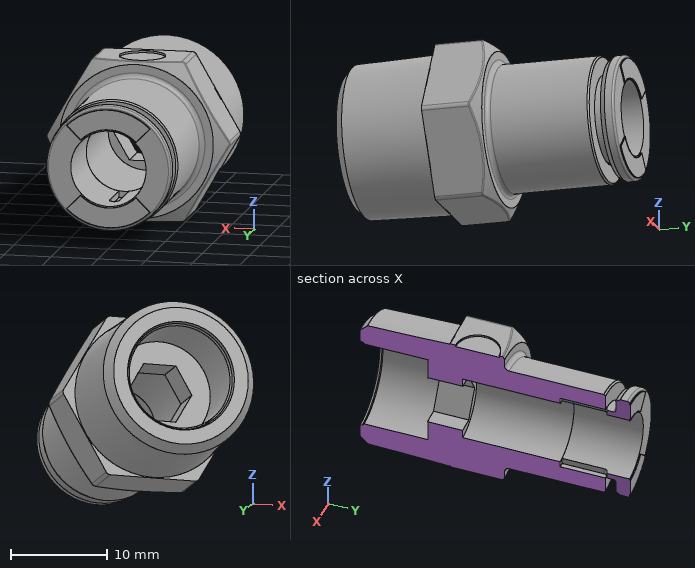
import cadquery as cq
import math


total_length = 30.05
thread_length = 10.0
hex_end = 16.08
barrel_end = 27.25
flange_front = 28.37
flange_rear = 29.93

thread_tip_radius = 8.17
thread_root_radius = 8.45
thread_chamfer = 0.87

hex_apothem = 8.5
hex_corner_ratio = 1 / math.cos(math.pi / 6)
hex_corner_radius = 0.5
hex_bevel_angle = 30
hex_bevel_start_radius = 8.17
hex_bevel_edge_radius = 0.15
badge_radius = 2.4
badge_depth = 0.2

barrel_radius = 6.75
barrel_chamfer = 0.18
barrel_root_fillet = 0.5

thread_bore_radius = 5.47
thread_bore_depth = 7.5
bore_mouth_radius = 5.8
bore_lip_radius = 5.65
bore_lip_depth = 0.3
bore_lead_in_depth = 0.48
key_apothem = 3.0
key_end = 11.42
tube_radius = 4.0
sleeve_start = 22.25

sleeve_radius = 4.7
sleeve_fillet = 0.25
flange_radius = 6.6
flange_front_chamfer_radial = 0.35
flange_front_chamfer_length = 0.55
flange_rear_fillet = 0.25
slot_width = 1.02
slot_end = barrel_end + 0.15

arc_inner_radius = 4.15
arc_outer_radius = 6.25
arc_half_angle = 45


def arc_bow(radius):
    """Offset along each axis from a quarter arc's square corner to the arc's middle."""
    return radius * (1 - math.sqrt(0.5))


def revolve_about_y(points):
    """Solid of revolution from (radius, y) points."""
    return cq.Workplane("XY").polyline(points).close().revolve(360, (0, 0, 0), (0, 1, 0))


def cylinder_y(radius, start, end):
    """Cylinder on the Y axis."""
    return cq.Workplane("XZ", origin=(0, start, 0)).circle(radius).extrude(start - end)


def hexagon_y(apothem, start, end):
    """Hexagonal prism on the Y axis with corners on +X and -X."""
    corner_diameter = 2 * apothem * hex_corner_ratio
    return cq.Workplane("XZ", origin=(0, start, 0)).polygon(6, corner_diameter).extrude(start - end)


def make_thread():
    return revolve_about_y([
        (0, 0),
        (thread_tip_radius - thread_chamfer, 0),
        (thread_tip_radius, thread_chamfer),
        (thread_root_radius, thread_length),
        (0, thread_length),
    ])


def make_wrench_hexagon():
    prism = hexagon_y(hex_apothem, thread_length, hex_end).edges("|Y").fillet(hex_corner_radius)
    outer_radius = hex_apothem * hex_corner_ratio
    bevel_drop = (outer_radius - hex_bevel_start_radius) * math.tan(math.radians(hex_bevel_angle))
    bevel = revolve_about_y([
        (0, thread_length),
        (outer_radius, thread_length),
        (outer_radius, hex_end - bevel_drop),
        (hex_bevel_start_radius, hex_end),
        (0, hex_end),
    ])
    bevelled = prism.intersect(bevel)
    bevel_edges = bevelled.faces("%CONE").edges("(not >Y) and (not %LINE)")
    return bevel_edges.fillet(hex_bevel_edge_radius)


def make_badge_recess():
    center_y = (thread_length + hex_end) / 2
    floor = hex_apothem - badge_depth
    return cq.Workplane("XY", origin=(0, center_y, floor)).circle(badge_radius).extrude(2 * badge_depth)


def make_barrel():
    barrel = cylinder_y(barrel_radius, hex_end, barrel_end)
    return barrel.faces(">Y").chamfer(barrel_chamfer)


def make_barrel_root():
    """Concave fillet ring where the barrel meets the hexagon."""
    fillet_top = hex_end + barrel_root_fillet
    fillet_rim = barrel_radius + barrel_root_fillet
    bow = arc_bow(barrel_root_fillet)
    profile = (
        cq.Workplane("XY")
        .moveTo(0, hex_end)
        .lineTo(fillet_rim, hex_end)
        .threePointArc((barrel_radius + bow, hex_end + bow), (barrel_radius, fillet_top))
        .lineTo(0, fillet_top)
        .close()
    )
    return profile.revolve(360, (0, 0, 0), (0, 1, 0))


def make_thread_bore():
    """Blind bore with a two-step tapered mouth."""
    return revolve_about_y([
        (0, 0),
        (bore_mouth_radius, 0),
        (bore_lip_radius, bore_lip_depth),
        (thread_bore_radius, bore_lead_in_depth),
        (thread_bore_radius, thread_bore_depth),
        (0, thread_bore_depth),
    ])


def make_housing():
    outside = make_thread().union(make_wrench_hexagon()).union(make_barrel_root()).union(make_barrel())
    return (
        outside
        .cut(make_badge_recess())
        .cut(make_thread_bore())
        .cut(hexagon_y(key_apothem, thread_bore_depth, key_end))
        .cut(cylinder_y(tube_radius, key_end, sleeve_start))
        .cut(cylinder_y(sleeve_radius, sleeve_start, barrel_end))
    )


def make_collet_blank():
    """Sleeve and flange with the tube bore through both."""
    fillet_bow = arc_bow(sleeve_fillet)
    rear_bow = arc_bow(flange_rear_fillet)
    profile = (
        cq.Workplane("XY")
        .moveTo(tube_radius, sleeve_start)
        .lineTo(sleeve_radius, sleeve_start)
        .lineTo(sleeve_radius, flange_front - sleeve_fillet)
        .threePointArc(
            (sleeve_radius + fillet_bow, flange_front - fillet_bow),
            (sleeve_radius + sleeve_fillet, flange_front),
        )
        .lineTo(flange_radius - flange_front_chamfer_radial, flange_front)
        .lineTo(flange_radius, flange_front + flange_front_chamfer_length)
        .lineTo(flange_radius, flange_rear - flange_rear_fillet)
        .threePointArc(
            (flange_radius - rear_bow, flange_rear - rear_bow),
            (flange_radius - flange_rear_fillet, flange_rear),
        )
        .lineTo(tube_radius, flange_rear)
        .close()
    )
    return profile.revolve(360, (0, 0, 0), (0, 1, 0))


def make_collet_slot():
    """Round-ended slot across the sleeve that opens at its inner end."""
    slot_radius = slot_width / 2
    return (
        cq.Workplane("XY")
        .moveTo(-slot_radius, sleeve_start)
        .lineTo(slot_radius, sleeve_start)
        .lineTo(slot_radius, slot_end - slot_radius)
        .threePointArc((0, slot_end), (-slot_radius, slot_end - slot_radius))
        .close()
        .extrude(sleeve_radius, both=True)
    )


def make_raised_arc(middle_angle):
    """Ring sector on the flange's rear face, centred on an angle from +X towards +Z."""

    def point(radius, offset):
        angle = math.radians(middle_angle + offset)
        return radius * math.cos(angle), radius * math.sin(angle)

    return (
        cq.Workplane("XZ", origin=(0, flange_rear, 0))
        .moveTo(*point(arc_inner_radius, -arc_half_angle))
        .lineTo(*point(arc_outer_radius, -arc_half_angle))
        .threePointArc(point(arc_outer_radius, 0), point(arc_outer_radius, arc_half_angle))
        .lineTo(*point(arc_inner_radius, arc_half_angle))
        .threePointArc(point(arc_inner_radius, 0), point(arc_inner_radius, -arc_half_angle))
        .close()
        .extrude(flange_rear - total_length)
    )


def make_collet():
    collet = make_collet_blank().cut(make_collet_slot())
    for middle_angle in (90, 270):
        collet = collet.union(make_raised_arc(middle_angle))
    return collet


housing = make_housing()
collet = make_collet()

result = cq.Compound.makeCompound([housing.val(), collet.val()])